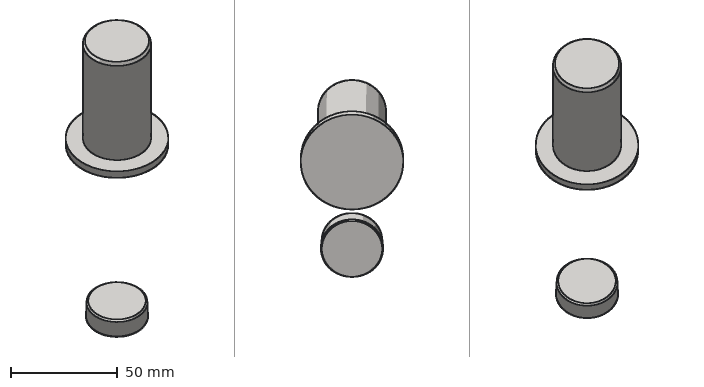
import cadquery as cq
import math

overall_height = 171.0

flange_diameter = 48.0
flange_thickness = 4.1
pin_length = 64.0
shank_diameter = 32.0
shank_chamfer_width = 1.0
shank_chamfer_height = 1.7

plug_height = 10.6
plug_top_diameter = 28.5
plug_bottom_diameter = 29.2
plug_top_bevel_width = 0.9
plug_bottom_bevel_width = 0.5
plug_bevel_height = 0.9
dish_floor_diameter = 17.5
dish_depth = 0.2
dome_height = 0.3


def make_flanged_pin():
    """Solid pin standing on a round flange, with a bevelled top edge."""
    flange_radius = flange_diameter / 2
    shank_radius = shank_diameter / 2
    bottom = overall_height - pin_length
    shoulder = bottom + flange_thickness
    return (
        cq.Workplane("XZ")
        .moveTo(0, bottom)
        .lineTo(flange_radius, bottom)
        .lineTo(flange_radius, shoulder)
        .lineTo(shank_radius, shoulder)
        .lineTo(shank_radius, overall_height - shank_chamfer_height)
        .lineTo(shank_radius - shank_chamfer_width, overall_height)
        .lineTo(0, overall_height)
        .close()
        .revolve(360, (0, 0), (0, 1))
    )


def make_plug():
    """Solid disc with bevelled edges, a tapered side, a dished top and a domed bottom."""
    top_radius = plug_top_diameter / 2
    bottom_radius = plug_bottom_diameter / 2
    dome_radius = bottom_radius - plug_bottom_bevel_width
    sphere_radius = (dome_radius**2 + dome_height**2) / (2 * dome_height)
    dome_middle_x = dome_radius / 2
    dome_middle_z = sphere_radius - math.sqrt(sphere_radius**2 - dome_middle_x**2)
    side_bottom = dome_height + plug_bevel_height
    side_top = plug_height - plug_bevel_height
    dish_floor = plug_height - dish_depth
    return (
        cq.Workplane("XZ")
        .threePointArc((dome_middle_x, dome_middle_z), (dome_radius, dome_height))
        .lineTo(bottom_radius, side_bottom)
        .lineTo(top_radius, side_top)
        .lineTo(top_radius - plug_top_bevel_width, plug_height)
        .lineTo(dish_floor_diameter / 2, dish_floor)
        .lineTo(0, dish_floor)
        .close()
        .revolve(360, (0, 0), (0, 1))
    )


flanged_pin = make_flanged_pin()
plug = make_plug()

result = cq.Compound.makeCompound([flanged_pin.val(), plug.val()])